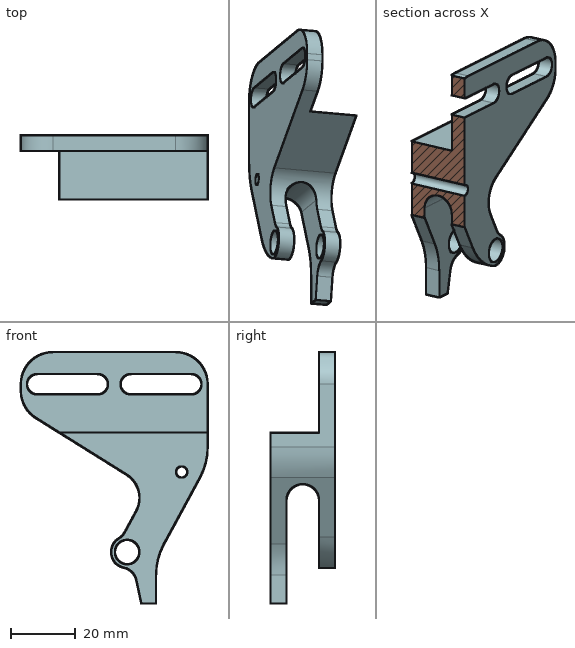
import cadquery as cq
import math


DEPTH = 20.0
WALL = 5.0
FORK_GAP = DEPTH - 2 * WALL

FLANGE_LEFT = -33.0
FLANGE_RIGHT = 25.0
FLANGE_TOP = 62.0
FLANGE_RADIUS = 10.0
FLANGE_HEIGHT = 25.0
UPPER_CORNER_Z = FLANGE_TOP - FLANGE_RADIUS
LOWER_CORNER_Z = 50.0
STEP_Z = FLANGE_TOP - FLANGE_HEIGHT
SLOT_LENGTH = 25.0
SLOT_WIDTH = 6.2
SLOT_SPACING = 29.0

UNDERSIDE_ANGLE = 32.0
LEVER_WIDTH = 12.5
THROAT_RADIUS = 8.5
BACK_RADIUS = 20.0
BACK_UPPER_CORNER = (FLANGE_RIGHT, 27.5)
BACK_LOWER_CORNER = (9.0, -2.0)
FORK_TOP_Z = 21.0

BOSS_RADIUS = 5.0
BORE_DIAMETER = 7.5
BOSS_BLEND_RADIUS = 5.0
TAIL_BOTTOM = -16.0
TAIL_TIP_LEFT = 4.35
TAIL_ANGLE = 12.0
BELLY_RADIUS = 20.0

PIN_HOLE_DIAMETER = 3.4
PIN_HOLE_CENTER = (16.9, 24.8)

COINCIDENT = 1e-6


def polar(angle):
    """Unit vector at an angle in radians."""
    return (math.cos(angle), math.sin(angle))


def offset(point, direction, distance):
    """Point moved along a unit vector."""
    return (point[0] + distance * direction[0], point[1] + distance * direction[1])


def dot(a, b):
    return a[0] * b[0] + a[1] * b[1]


def reverse(vector):
    return (-vector[0], -vector[1])


def arc_between(center, radius, start, end):
    """Start, middle and end of the shorter arc between two directions."""
    middle = (start[0] + end[0], start[1] + end[1])
    length = math.hypot(*middle)
    return (
        offset(center, start, radius),
        offset(center, middle, radius / length),
        offset(center, end, radius),
    )


def point_at(normal_a, distance_a, normal_b, distance_b):
    """Crossing of two lines, each given by its unit normal and its distance from the origin."""
    determinant = normal_a[0] * normal_b[1] - normal_a[1] * normal_b[0]
    return (
        (distance_a * normal_b[1] - distance_b * normal_a[1]) / determinant,
        (normal_a[0] * distance_b - normal_b[0] * distance_a) / determinant,
    )


def boss_blend_center(normal, distance, turn):
    """Centre of a blend outside the boss that touches a line from its outer side.

    The normal points out of the part; turn (+1 or -1) picks the side of the boss.
    """
    angle = math.acos((distance + BOSS_BLEND_RADIUS) / (BOSS_RADIUS + BOSS_BLEND_RADIUS))
    direction = polar(math.atan2(normal[1], normal[0]) + turn * angle)
    return offset((0, 0), direction, BOSS_RADIUS + BOSS_BLEND_RADIUS), direction


LEFT = (-1.0, 0.0)
RIGHT = (1.0, 0.0)
UP = (0.0, 1.0)
LEVER_ANGLE = math.atan2(
    BACK_UPPER_CORNER[0] - BACK_LOWER_CORNER[0],
    BACK_UPPER_CORNER[1] - BACK_LOWER_CORNER[1],
)
BACK_NORMAL = polar(-LEVER_ANGLE)
BACK_DISTANCE = dot(BACK_NORMAL, BACK_LOWER_CORNER)
INNER_NORMAL = reverse(BACK_NORMAL)
INNER_DISTANCE = LEVER_WIDTH - BACK_DISTANCE
UNDERSIDE_NORMAL = polar(math.radians(-90.0 - UNDERSIDE_ANGLE))
LOWER_CORNER_CENTER = (FLANGE_LEFT + FLANGE_RADIUS, LOWER_CORNER_Z)
UNDERSIDE_DISTANCE = dot(UNDERSIDE_NORMAL, LOWER_CORNER_CENTER) + FLANGE_RADIUS
TAIL_NORMAL = polar(math.radians(180.0 + TAIL_ANGLE))
TAIL_DISTANCE = dot(TAIL_NORMAL, (TAIL_TIP_LEFT, TAIL_BOTTOM))


def upper_profile():
    """Part of the profile shared by both arms, from the right side of the lever round to the boss blend.

    Returns the arcs in order (counter-clockwise) and the direction in which the boss begins.
    """
    upper_bend_center = point_at(
        RIGHT, FLANGE_RIGHT - BACK_RADIUS, BACK_NORMAL, BACK_DISTANCE - BACK_RADIUS
    )
    throat_center = point_at(
        UNDERSIDE_NORMAL, UNDERSIDE_DISTANCE + THROAT_RADIUS,
        INNER_NORMAL, INNER_DISTANCE + THROAT_RADIUS,
    )
    blend_center, boss_direction = boss_blend_center(INNER_NORMAL, INNER_DISTANCE, -1)
    arcs = [
        arc_between(upper_bend_center, BACK_RADIUS, BACK_NORMAL, RIGHT),
        arc_between((FLANGE_RIGHT - FLANGE_RADIUS, UPPER_CORNER_Z), FLANGE_RADIUS, RIGHT, UP),
        arc_between((FLANGE_LEFT + FLANGE_RADIUS, UPPER_CORNER_Z), FLANGE_RADIUS, UP, LEFT),
        arc_between(LOWER_CORNER_CENTER, FLANGE_RADIUS, LEFT, UNDERSIDE_NORMAL),
        arc_between(throat_center, THROAT_RADIUS, reverse(UNDERSIDE_NORMAL), reverse(INNER_NORMAL)),
        arc_between(blend_center, BOSS_BLEND_RADIUS, reverse(INNER_NORMAL), reverse(boss_direction)),
    ]
    return arcs, boss_direction


def tail_end(boss_direction):
    """Front arm below the blend: round the boss, down the tail and back up to the lever."""
    blend_center, boss_end = boss_blend_center(TAIL_NORMAL, TAIL_DISTANCE, 1)
    tail_tip = (TAIL_TIP_LEFT, TAIL_BOTTOM)
    tail_corner = (BACK_LOWER_CORNER[0], TAIL_BOTTOM)
    lower_bend_center = point_at(
        RIGHT, BACK_LOWER_CORNER[0] + BACK_RADIUS, BACK_NORMAL, BACK_DISTANCE + BACK_RADIUS
    )
    return [
        arc_between((0, 0), BOSS_RADIUS, boss_direction, boss_end),
        arc_between(blend_center, BOSS_BLEND_RADIUS, reverse(boss_end), reverse(TAIL_NORMAL)),
        (tail_tip,),
        (tail_corner,),
        arc_between(lower_bend_center, BACK_RADIUS, LEFT, reverse(BACK_NORMAL)),
    ]


def rounded_end(boss_direction):
    """Back arm below the blend: round the boss and along the belly arc to the lever."""
    reach = BELLY_RADIUS - BOSS_RADIUS
    swing = math.acos((BELLY_RADIUS - BACK_DISTANCE) / reach)
    boss_end = polar(-LEVER_ANGLE - swing)
    belly_center = offset((0, 0), boss_end, -reach)
    return [
        arc_between((0, 0), BOSS_RADIUS, boss_direction, boss_end),
        arc_between(belly_center, BELLY_RADIUS, boss_end, BACK_NORMAL),
    ]


def extrude_profile(pieces, front, back):
    """Solid between two Y positions; pieces are arcs or single corners joined by straight lines."""
    outline = cq.Workplane("XZ", origin=(0, front, 0)).moveTo(*pieces[0][0])
    position = pieces[0][0]
    for piece in pieces:
        if math.dist(position, piece[0]) > COINCIDENT:
            outline = outline.lineTo(*piece[0])
        if len(piece) == 3:
            outline = outline.threePointArc(piece[1], piece[2])
        position = piece[-1]
    return outline.close().extrude(front - back)


def bracket_body():
    upper, boss_direction = upper_profile()
    front_arm = extrude_profile(upper + tail_end(boss_direction), 0, WALL)
    rest = extrude_profile(upper + rounded_end(boss_direction), WALL, DEPTH)
    return front_arm.union(rest)


def step_cut():
    """Space in front of the flange, above the block."""
    return cq.Workplane("XY").box(
        FLANGE_RIGHT - FLANGE_LEFT, DEPTH - WALL, FLANGE_TOP - STEP_Z, centered=False
    ).translate((FLANGE_LEFT, 0, STEP_Z))


def fork_cut():
    """Round-topped gap between the fork arms, running through along X."""
    radius = FORK_GAP / 2
    center_z = FORK_TOP_Z - radius
    return (
        cq.Workplane("YZ", origin=(FLANGE_LEFT, 0, 0))
        .moveTo(WALL, TAIL_BOTTOM)
        .lineTo(WALL, center_z)
        .threePointArc((DEPTH / 2, FORK_TOP_Z), (DEPTH - WALL, center_z))
        .lineTo(DEPTH - WALL, TAIL_BOTTOM)
        .close()
        .extrude(FLANGE_RIGHT - FLANGE_LEFT)
    )


def flange_slots():
    middle_x = (FLANGE_LEFT + FLANGE_RIGHT) / 2
    centers = [(middle_x + side * SLOT_SPACING / 2, UPPER_CORNER_Z) for side in (-1, 1)]
    return cq.Workplane("XZ").pushPoints(centers).slot2D(SLOT_LENGTH, SLOT_WIDTH).extrude(-DEPTH)


def through_hole(center, diameter):
    return cq.Workplane("XZ").center(*center).circle(diameter / 2).extrude(-DEPTH)


result = (
    bracket_body()
    .cut(step_cut())
    .cut(fork_cut())
    .cut(flange_slots())
    .cut(through_hole((0, 0), BORE_DIAMETER))
    .cut(through_hole(PIN_HOLE_CENTER, PIN_HOLE_DIAMETER))
)